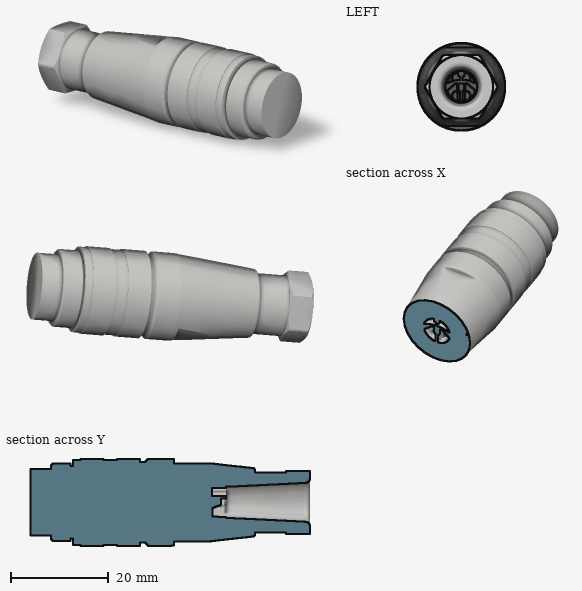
import cadquery as cq
import math

total_length = 57.3
body_diameter = 18.0

nut_length = 5.0
nut_across_flats = 13.0
nut_corner_diameter = 14.8
nut_chamfer_length = 0.45
neck_diameter = 12.5

taper_start = 11.3
taper_start_diameter = 14.1
taper_rounding = 0.45
taper_end = 28.65
flat_height = 16.05
flat_end = 27.85

sleeve_end = 33.85
sleeve_chamfer = 0.7
sleeve_groove_diameter = 16.6
ring_one_start = 34.8
ring_one_end = 39.65
ring_two_start = 42.3
ring_two_end = 47.05
grip_groove_diameter = 17.6
grip_end = 48.65

undercut_diameter = 15.0
collar_start = 49.05
collar_end = 53.05
collar_diameter = 16.0
collar_chamfer = 0.35
plug_diameter = 13.75

mouth_diameter = 10.0
bore_diameter = 8.0
bore_end_diameter = 6.5
bore_depth = 17.2

insert_diameter = 6.0
insert_depth = 1.7
socket_diameter = 2.0
socket_depth = 1.15
divider_depth = insert_depth + socket_depth
socket_offset_y = 0.85
socket_offset_z = 1.85
web_width = 0.45
web_foot_width = 1.4
web_foot_height = 0.65
key_width = 1.2
key_height = 1.2
key_top = 0.7
key_taper = 0.5
key_setback = 0.3
key_draft_angle = 12
band_outer_top = 1.45
band_outer_end = 0.7
band_inner_half_width = 1.2
band_inner_drop = 1.6


def turned(points):
    """Revolve a closed outline of (x, radius) points about the X axis."""
    outline = cq.Workplane("XY").polyline(points).close()
    return outline.revolve(360, (0, 0, 0), (1, 0, 0))


def cylinder(start, length, diameter):
    """Cylinder along +X from x = start."""
    return cq.Workplane("YZ").workplane(offset=start).circle(diameter / 2).extrude(length)


def make_nut():
    corner_to_corner = nut_across_flats / math.cos(math.pi / 6)
    hexagon = cq.Workplane("YZ").polygon(6, corner_to_corner).extrude(nut_length)
    face_radius = nut_across_flats / 2
    corner_radius = nut_corner_diameter / 2
    envelope = turned([
        (0, 0),
        (0, face_radius),
        (nut_chamfer_length, corner_radius),
        (nut_length - nut_chamfer_length, corner_radius),
        (nut_length, face_radius),
        (nut_length, 0),
    ])
    return hexagon.intersect(envelope)


def make_backshell():
    taper = turned([
        (taper_start, 0),
        (taper_start, taper_start_diameter / 2),
        (taper_end, body_diameter / 2),
        (taper_end, 0),
    ])
    taper = taper.faces("<X").edges().fillet(taper_rounding)
    flat_length = flat_end - taper_start
    flat_zone = cq.Workplane("XY").box(flat_length, body_diameter, body_diameter)
    flat_zone = flat_zone.cut(cq.Workplane("XY").box(flat_length, body_diameter, flat_height))
    return taper.cut(flat_zone.translate(((taper_start + flat_end) / 2, 0, 0)))


def make_front_end():
    sleeve = cylinder(taper_end, sleeve_end - taper_end, body_diameter)
    front = sleeve.faces(">X").chamfer(sleeve_chamfer)
    collar = cylinder(collar_start, collar_end - collar_start, collar_diameter)
    front = front.union(collar.faces(">X").chamfer(collar_chamfer))
    sections = [
        (sleeve_end, ring_one_start, sleeve_groove_diameter),
        (ring_one_start, ring_one_end, body_diameter),
        (ring_one_end, ring_two_start, grip_groove_diameter),
        (ring_two_start, ring_two_end, body_diameter),
        (ring_two_end, grip_end, grip_groove_diameter),
        (grip_end, collar_start, undercut_diameter),
        (collar_end, total_length, plug_diameter),
    ]
    for start, end, diameter in sections:
        front = front.union(cylinder(start, end - start, diameter))
    return front


def make_bore():
    mouth_radius = mouth_diameter / 2
    bore_radius = bore_diameter / 2
    rounding = mouth_radius - bore_radius
    diagonal = rounding * math.sin(math.pi / 4)
    outline = (
        cq.Workplane("XY")
        .lineTo(0, mouth_radius)
        .threePointArc(
            (rounding - diagonal, mouth_radius - diagonal),
            (rounding, bore_radius),
        )
        .lineTo(bore_depth, bore_end_diameter / 2)
        .lineTo(bore_depth, 0)
        .close()
    )
    return outline.revolve(360, (0, 0, 0), (1, 0, 0))


def make_band(plane, insert_radius):
    """Arched wall across the insert with a pointed underside."""
    inner_end = key_top - band_inner_drop
    return (
        plane.moveTo(-insert_radius, band_outer_end)
        .threePointArc((0, band_outer_top), (insert_radius, band_outer_end))
        .lineTo(insert_radius, inner_end)
        .lineTo(band_inner_half_width, key_top)
        .lineTo(-band_inner_half_width, key_top)
        .lineTo(-insert_radius, inner_end)
        .close()
        .extrude(divider_depth)
    )


def make_upper_web(plane, insert_radius):
    """Thin wall from the band up to the rim, with a wide foot at the rim."""
    foot_bottom = insert_radius - web_foot_height
    half_web = web_width / 2
    half_foot = web_foot_width / 2
    return (
        plane.moveTo(-half_foot, insert_radius)
        .lineTo(half_foot, insert_radius)
        .lineTo(half_foot, foot_bottom)
        .lineTo(half_web, foot_bottom - web_width)
        .lineTo(half_web, key_top)
        .lineTo(-half_web, key_top)
        .lineTo(-half_web, foot_bottom - web_width)
        .lineTo(-half_foot, foot_bottom)
        .close()
        .extrude(divider_depth)
    )


def make_key(plane, insert_radius):
    """Key block and the wall below it, set back from the band, with drafted sides."""
    key_bottom = key_top - key_height
    half_web = web_width / 2
    half_key = key_width / 2
    return (
        plane.workplane(offset=key_setback)
        .moveTo(-half_key, key_top)
        .lineTo(half_key, key_top)
        .lineTo(half_key, key_bottom)
        .lineTo(half_web, key_bottom - key_taper)
        .lineTo(half_web, -insert_radius)
        .lineTo(-half_web, -insert_radius)
        .lineTo(-half_web, key_bottom - key_taper)
        .lineTo(-half_key, key_bottom)
        .close()
        .extrude(divider_depth - key_setback, taper=-key_draft_angle)
    )


def make_insert_recess():
    """Recess with four sockets, divided by an arched band, a web and a key."""
    insert_radius = insert_diameter / 2
    plane = cq.Workplane("YZ").workplane(offset=bore_depth)
    recess = plane.circle(insert_radius).extrude(insert_depth)
    for side in (-1, 1):
        for level in (-1, 1):
            socket = cylinder(bore_depth, divider_depth, socket_diameter)
            recess = recess.union(socket.translate((0, side * socket_offset_y, level * socket_offset_z)))
    for make_divider in (make_band, make_upper_web, make_key):
        recess = recess.cut(make_divider(plane, insert_radius))
    return recess


neck = cylinder(nut_length, taper_start - nut_length, neck_diameter)
connector = make_nut().union(neck).union(make_backshell()).union(make_front_end())
result = connector.cut(make_bore()).cut(make_insert_recess())